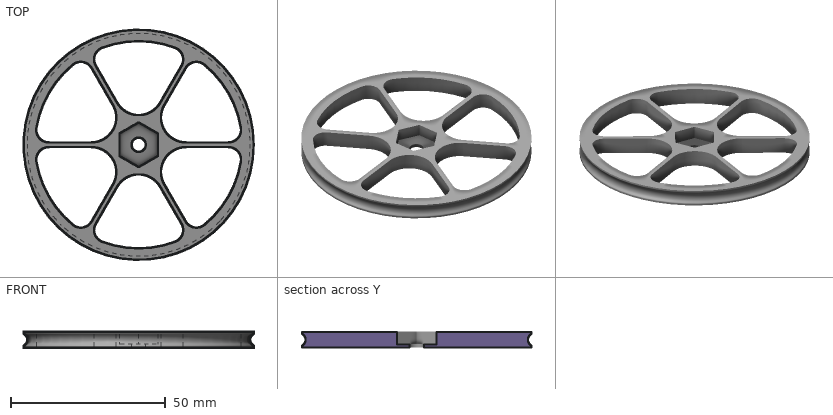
import cadquery as cq
import math

outer_diameter = 74.34
thickness = 5.28
groove_depth = 1.17
groove_radius = 2.0
flank_angle = math.radians(45)
lip_radius = 0.4

spoke_count = 6
spoke_width = 1.6
window_outer_radius = 33.4
window_hub_fillet = 8.0
window_rim_fillet = 4.0

bore_diameter = 4.5
hex_sides = 6
hex_across_flats = 12.5
hex_depth = 4.08

outer_radius = outer_diameter / 2
half_thickness = thickness / 2


def groove_cutter():
    """Ring with a round bottom and straight tangent flanks, centred on the mid plane."""
    bottom_radius = outer_radius - groove_depth
    tangent_radius = bottom_radius + groove_radius * (1 - math.cos(flank_angle))
    tangent_z = groove_radius * math.sin(flank_angle)
    mouth_z = tangent_z + (outer_radius - tangent_radius) / math.tan(flank_angle)

    lip_mid_angle = (math.pi / 2 - flank_angle) / 2
    lip_setback = lip_radius * math.tan(lip_mid_angle)
    land_z = mouth_z + lip_setback
    flank_r = outer_radius - lip_setback * math.sin(flank_angle)
    flank_z = mouth_z - lip_setback * math.cos(flank_angle)
    lip_centre_r = outer_radius - lip_radius
    lip_mid_r = lip_centre_r + lip_radius * math.cos(lip_mid_angle)
    lip_mid_z = land_z - lip_radius * math.sin(lip_mid_angle)
    clear_radius = outer_radius + groove_depth

    return (
        cq.Workplane("XZ")
        .moveTo(clear_radius, -land_z)
        .lineTo(outer_radius, -land_z)
        .threePointArc((lip_mid_r, -lip_mid_z), (flank_r, -flank_z))
        .lineTo(tangent_radius, -tangent_z)
        .threePointArc((bottom_radius, 0), (tangent_radius, tangent_z))
        .lineTo(flank_r, flank_z)
        .threePointArc((lip_mid_r, lip_mid_z), (outer_radius, land_z))
        .lineTo(clear_radius, land_z)
        .close()
        .revolve(360, (0, 0, 0), (0, 1, 0))
        .translate((0, 0, half_thickness))
    )


def window_cutter():
    """Rounded sector opening centred on +Y, its sides parallel to the neighbouring spokes."""
    half_angle = math.pi / spoke_count
    half_spoke = spoke_width / 2
    apex_y = half_spoke / math.sin(half_angle)

    along_spoke = math.sqrt(window_outer_radius**2 - half_spoke**2)
    corner_x = along_spoke * math.sin(half_angle) - half_spoke * math.cos(half_angle)
    corner_y = along_spoke * math.cos(half_angle) + half_spoke * math.sin(half_angle)

    sector = (
        cq.Workplane("XY")
        .moveTo(0, apex_y)
        .lineTo(corner_x, corner_y)
        .threePointArc((0, window_outer_radius), (-corner_x, corner_y))
        .close()
        .extrude(thickness)
    )
    rim_rounded = sector.edges("|Z").edges(">Y").fillet(window_rim_fillet)
    return rim_rounded.edges("|Z and <Y").fillet(window_hub_fillet)


def hub_cutter():
    """Through bore below a hexagonal nut pocket with corners on the Y axis."""
    hex_circumdiameter = hex_across_flats / math.cos(math.pi / hex_sides)
    bore = cq.Workplane("XY").circle(bore_diameter / 2).extrude(thickness)
    pocket = (
        cq.Workplane("XY", origin=(0, 0, thickness - hex_depth))
        .polygon(hex_sides, hex_circumdiameter)
        .extrude(hex_depth)
        .rotate((0, 0, 0), (0, 0, 1), 90)
    )
    return bore.union(pocket)


wheel = cq.Workplane("XY").circle(outer_radius).extrude(thickness)
wheel = wheel.cut(groove_cutter())
window = window_cutter()
for index in range(spoke_count):
    wheel = wheel.cut(window.rotate((0, 0, 0), (0, 0, 1), index * 360 / spoke_count))
result = wheel.cut(hub_cutter())